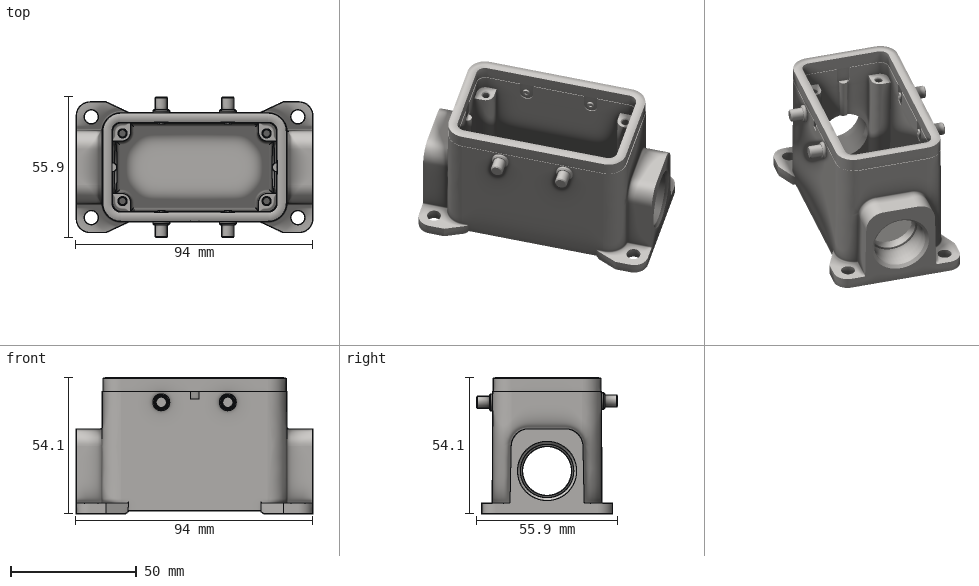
import cadquery as cq
import math

total_height = 54.14
body_bottom_z = 1.2
rim_bottom_z = 48.55
crown_height = 0.35
rim_side_top_z = total_height - crown_height

body_top_half_x, body_top_half_y, body_top_radius = 36.65, 21.6, 7.6
body_draft = 0.22
rim_half_x, rim_half_y, rim_radius = 36.4, 21.45, 7.1
rim_width = 3.65

opening_half_x = rim_half_x - rim_width
opening_half_y = rim_half_y - rim_width
opening_radius = rim_radius - rim_width
wall_ledge = 0.2
taper_start_z = 40.0
floor_z = 4.2
floor_half_x, floor_half_y = 30.6, 17.0
floor_fillet = 1.0

post_top_z = 43.1
post_base_x, post_base_y = 24.9, 9.9
post_draft = 0.5
post_corner_radius = 4.0
post_hole_x, post_hole_y = 28.6, 13.45
post_hole_diameter = 2.9
post_hole_mouth_diameter = 3.6
post_hole_depth = 15.0

half_length = 47.0
foot_half_width = 26.0
foot_thickness = 4.25
foot_corner_radius = 5.6
foot_shoulder_x = 35.2
foot_inner_x, foot_inner_y = 26.3, 21.8
foot_edge_chamfer_x, foot_edge_chamfer_z = 0.9, body_bottom_z
mount_hole_x, mount_hole_y, mount_hole_diameter = 41.0, 20.0, 5.5

hub_top_z = 33.8
hub_base_half_width, hub_top_half_width = 14.8, 14.1
hub_corner_radius = 7.0
hub_root_x = 34.0
joint_fillet = 0.5
tolerance = 0.05
bore_z = 17.05
bore_diameter = 21.2
bore_mouth_diameter = 23.5
bore_chamfer = (bore_mouth_diameter - bore_diameter) / 2
bore_step_x = 34.9
passage_diameter = 19.4

pin_x = 13.2
pin_z = {-1: 44.3, 1: 44.8}
pin_tip_y = 27.93
pin_diameter, pin_chamfer = 4.9, 0.4
collar_diameter, collar_end_y, collar_chamfer = 6.7, 22.9, 0.5
tail_diameter, tail_end_y = 2.8, 17.2
tail_dimple_diameter, tail_dimple_depth = 1.4, 0.5

slot_width = 5.4
slot_bottom_z = 41.0
slot_depth = wall_ledge + 0.2
rib_radius, rib_tip_x, rib_top_z = 1.8, 30.9, 42.5
notch_width, notch_height, notch_depth = 3.4, 3.0, 0.8


def rounded_rectangle(z, half_x, half_y, radius):
    sketch = cq.Sketch().rect(2 * half_x, 2 * half_y).vertices().fillet(radius)
    return cq.Workplane("XY").workplane(offset=z).placeSketch(sketch)


def rounded_prism(z_low, z_high, half_x, half_y, radius):
    return rounded_rectangle(z_low, half_x, half_y, radius).extrude(z_high - z_low)


def tapered_prism(low, high):
    """Loft between two rounded rectangles, each given as (z, half_x, half_y, radius)."""
    sketches = [
        cq.Sketch().rect(2 * hx, 2 * hy).vertices().fillet(r).moved(cq.Location(cq.Vector(0, 0, z)))
        for z, hx, hy, r in (low, high)
    ]
    return cq.Workplane("XY").placeSketch(*sketches).loft(ruled=True)


def cylinder_along(plane, origin, diameter, length):
    return cq.Workplane(plane, origin=origin).circle(diameter / 2).extrude(length)


def make_body():
    bottom = (
        body_bottom_z,
        body_top_half_x + body_draft,
        body_top_half_y + body_draft,
        body_top_radius + body_draft,
    )
    return tapered_prism(bottom, (rim_bottom_z, body_top_half_x, body_top_half_y, body_top_radius))


def make_foot(side):
    outline = [
        (half_length, -foot_half_width),
        (half_length, foot_half_width),
        (foot_shoulder_x, foot_half_width),
        (foot_inner_x, foot_inner_y),
        (foot_inner_x, -foot_inner_y),
        (foot_shoulder_x, -foot_half_width),
    ]
    foot = cq.Workplane("XY").polyline(outline).close().extrude(foot_thickness)
    foot = foot.edges("|Z and >X").fillet(foot_corner_radius)
    foot = foot.faces("<X").edges("<Z").chamfer(foot_edge_chamfer_z, foot_edge_chamfer_x)
    return foot if side > 0 else foot.mirror("YZ")


def make_hub(side):
    outline = [
        (-hub_base_half_width, 0),
        (hub_base_half_width, 0),
        (hub_top_half_width, hub_top_z),
        (-hub_top_half_width, hub_top_z),
    ]
    hub = cq.Workplane("YZ", origin=(hub_root_x, 0, 0)).polyline(outline).close()
    hub = hub.extrude(half_length - hub_root_x)
    hub = hub.edges("|X and >Z").fillet(hub_corner_radius)
    return hub if side > 0 else hub.mirror("YZ")


def blend_joints(shell):
    """Fillet the seams where the hubs, feet and body walls meet."""
    wall_bottom_x = body_top_half_x + body_draft
    wall_bottom_y = body_top_half_y + body_draft

    def is_foot_seam(edge):
        box = edge.BoundingBox()
        center = edge.Center()
        at_foot_top = max(abs(box.zmin - foot_thickness), abs(box.zmax - foot_thickness)) < tolerance
        off_rim = abs(center.x) < half_length - tolerance and abs(center.y) < wall_bottom_y + tolerance
        return at_foot_top and off_rim

    def is_hub_seam(edge):
        box = edge.BoundingBox()
        center = edge.Center()
        on_wall = (
            box.xmax - box.xmin < body_draft + tolerance
            and body_top_half_x - tolerance < abs(center.x) < wall_bottom_x + tolerance
        )
        on_hub = abs(center.y) < hub_base_half_width and center.z < hub_top_z + tolerance
        return on_wall and on_hub

    seams = [edge for edge in shell.edges().vals() if is_foot_seam(edge) or is_hub_seam(edge)]
    return shell.newObject(seams).fillet(joint_fillet)


def make_rim():
    """Straight-sided rim closed by a shallow domed crown that follows its centre line."""
    rim = rounded_prism(rim_bottom_z, rim_side_top_z, rim_half_x, rim_half_y, rim_radius)
    middle_x = rim_half_x - rim_width / 2
    path = (
        rounded_prism(
            rim_side_top_z,
            total_height,
            middle_x,
            rim_half_y - rim_width / 2,
            rim_radius - rim_width / 2,
        )
        .faces("<Z")
        .wires()
    )
    crown = (
        cq.Workplane("XZ", origin=(middle_x, 0, rim_side_top_z))
        .moveTo(-rim_width / 2, 0)
        .threePointArc((0, crown_height), (rim_width / 2, 0))
        .close()
        .sweep(path)
    )
    return rim.union(crown)


def make_posts():
    """Four corner posts that narrow slightly from the floor to the top."""
    height = post_top_z - floor_z
    size_x = 2 * (opening_half_x - post_base_x)
    size_y = 2 * (opening_half_y - post_base_y)
    taper = math.degrees(math.atan(post_draft / height))
    post = (
        cq.Workplane("XY", origin=(opening_half_x, opening_half_y, floor_z))
        .placeSketch(cq.Sketch().rect(size_x, size_y).vertices().fillet(post_corner_radius))
        .extrude(height, taper=taper)
    )
    pair = post.union(post.mirror("YZ"))
    return pair.union(pair.mirror("XZ"))


def make_cavity():
    wall_half_x = opening_half_x - wall_ledge
    wall_half_y = opening_half_y - wall_ledge
    opening = rounded_prism(rim_bottom_z, total_height, opening_half_x, opening_half_y, opening_radius)
    upper = rounded_prism(taper_start_z, rim_bottom_z, wall_half_x, wall_half_y, opening_radius)
    lower = tapered_prism(
        (floor_z, floor_half_x, floor_half_y, opening_radius),
        (taper_start_z, wall_half_x, wall_half_y, opening_radius),
    )
    lower = lower.cut(make_posts()).faces("<Z").edges().fillet(floor_fillet)
    return opening.union(upper.cut(make_posts())).union(lower)


def make_slot(plane, center, wall_half):
    """Round-bottomed slot sunk into the two opposite cavity walls."""
    center_z = slot_bottom_z + slot_width / 2
    depth = wall_half - wall_ledge + slot_depth
    round_end = cq.Workplane(plane).center(center, center_z).circle(slot_width / 2)
    straight = cq.Workplane(plane).center(center, (center_z + rim_bottom_z) / 2)
    straight = straight.rect(slot_width, rim_bottom_z - center_z)
    return round_end.extrude(depth, both=True).union(straight.extrude(depth, both=True))


def make_rib(side):
    center_x = side * (rib_tip_x + rib_radius)
    rib = cq.Workplane("XY", origin=(center_x, 0, floor_z)).circle(rib_radius)
    return rib.extrude(rib_top_z - floor_z)


def make_pin(x, side):
    """Locking pin with a collar outside the wall and a dimpled tail inside it."""
    anchor_y = opening_half_y + wall_ledge + slot_depth

    def bar(start_y, end_y, diameter):
        return cylinder_along("XZ", (x, -start_y, pin_z[side]), diameter, end_y - start_y)

    pin = bar(anchor_y, pin_tip_y, pin_diameter).faces("<Y").chamfer(pin_chamfer)
    collar = bar(anchor_y, collar_end_y, collar_diameter).faces("<Y").chamfer(collar_chamfer)
    tail = bar(tail_end_y, anchor_y, tail_diameter)
    dimple = bar(tail_end_y, tail_end_y + tail_dimple_depth, tail_dimple_diameter)
    pin = pin.union(collar).union(tail).cut(dimple)
    return pin if side < 0 else pin.mirror("XZ")


def make_mount_holes():
    return (
        cq.Workplane("XY")
        .rect(2 * mount_hole_x, 2 * mount_hole_y, forConstruction=True)
        .vertices()
        .circle(mount_hole_diameter / 2)
        .extrude(foot_thickness)
    )


def make_post_holes():
    """Screw holes in the posts, each with a countersunk mouth."""
    mouth_radius = post_hole_mouth_diameter / 2
    hole_radius = post_hole_diameter / 2
    profile = [
        (0, 0),
        (mouth_radius, 0),
        (hole_radius, hole_radius - mouth_radius),
        (hole_radius, -post_hole_depth),
        (0, -post_hole_depth),
    ]
    hole = cq.Workplane("XZ").polyline(profile).close().revolve()
    holes = cq.Workplane("XY")
    for x in (-post_hole_x, post_hole_x):
        for y in (-post_hole_y, post_hole_y):
            holes = holes.add(hole.translate((x, y, post_top_z)))
    return holes.combine()


def make_notch():
    notch = cq.Workplane("XY", origin=(0, -body_top_half_y, rim_bottom_z - notch_height / 2))
    return notch.box(notch_width, 2 * notch_depth, notch_height)


def make_bore(side):
    bore = cylinder_along("YZ", (bore_step_x, 0, bore_z), bore_diameter, half_length - bore_step_x)
    mouth = cq.Solid.makeCone(
        bore_diameter / 2,
        bore_mouth_diameter / 2,
        bore_chamfer,
        cq.Vector(half_length - bore_chamfer, 0, bore_z),
        cq.Vector(1, 0, 0),
    )
    bore = bore.union(cq.Workplane(mouth))
    return bore if side > 0 else bore.mirror("YZ")


shell = make_body()
for side in (-1, 1):
    shell = shell.union(make_foot(side)).union(make_hub(side))
shell = blend_joints(shell)
shell = shell.union(make_rim()).cut(make_cavity())
for x in (-pin_x, pin_x):
    shell = shell.cut(make_slot("XZ", x, opening_half_y))
shell = shell.cut(make_slot("YZ", 0, opening_half_x))

for side in (-1, 1):
    shell = shell.union(make_rib(side)).cut(make_bore(side))
    for x in (-pin_x, pin_x):
        shell = shell.union(make_pin(x, side))

passage = cylinder_along("YZ", (-half_length, 0, bore_z), passage_diameter, 2 * half_length)
result = shell.cut(passage).cut(make_mount_holes()).cut(make_post_holes()).cut(make_notch())